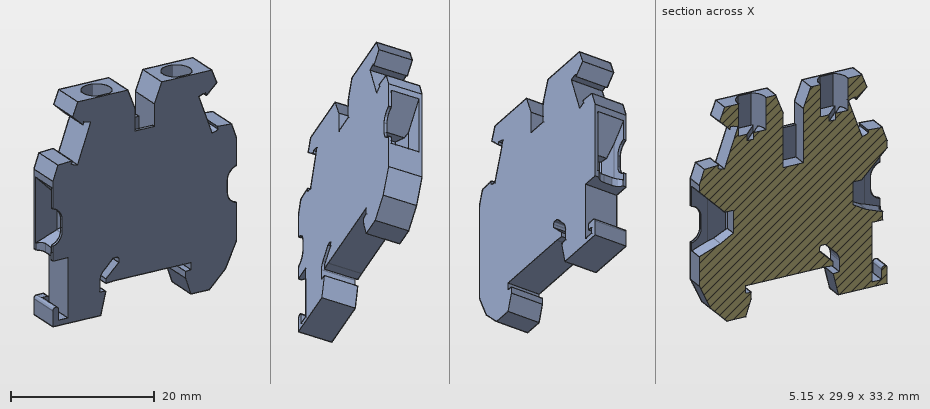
import cadquery as cq
import math

width = 5.15
length = 29.9
half_length = length / 2
height = 33.25

notch_half_width = 1.55
notch_floor_z = 26.75
notch_taper_z = 30.2
tower_inner_y = 2.75
tower_outer_y = 10.9
brow_tip = (11.75, 31.15)
brow_foot = (10.05, 29.55)
upper_groove_start = (9.9, 30.0)
upper_groove_middle = (9.38, 29.9)
neck_top = (8.8, 29.7)
neck_bottom = (10.95, 23.7)
lower_groove_middle = (11.47, 23.8)
lower_groove_end = (11.95, 24.05)
shoulder_lip = (11.8, 24.5)
shoulder_outer = (14.13, 24.37)
shoulder_side_z = 22.08

foot_side_z = 6.5
foot_knee = (13.15, 2.6)
foot_toe_y = 10.5
foot_inner_y = 7.5
foot_nose_y = 6.65
foot_nose_bottom_z = 2.6
foot_nose_top_z = 3.62
foot_undercut_z = 3.72

seat_z = 4.8
seat_kink_y = -5.05
slot_mouth = (-6.32, 4.7)
slot_mouth_top_z = 5.4
slot_inner_bend = (-4.22, 7.4)
slot_corner = (-4.22, 8.28)
slot_corner_radius = 0.33
slot_outer_bend = (-5.12, 8.28)
slot_arc_start = (-6.75, 6.65)
slot_arc_middle = (-7.15, 6.05)
slot_arc_end = (-7.28, 5.4)
clip_top = (-7.28, 3.62)
clip_nose = (-6.32, 3.5)
clip_toe_y = -7.15

step_z = 9.98
step_y = -12.5
hook_floor_z = 0.83
hook_inner_y = -14.0
hook_lip_y = -13.25
hook_lip_z = 1.83
hook_top_z = 2.9
hook_post_radius = (half_length + hook_inner_y) / 2
post_middle_y = hook_inner_y - hook_post_radius
post_shoulder_z = hook_top_z - hook_post_radius
hook_lip_width = 1.23
hook_lip_radius = 0.23

screw_x = 2.9
screw_spacing = 13.0
screw_radius = 2.15
screw_flat_x = 4.8
screw_depth = 5.0
driver_slot_width = 0.7
driver_slot_depth = 1.0
driver_slot_angle = -45.0

channel_start_x = 0.95
channel_end_x = 4.65
channel_depth = 5.0

entry_left_x = 0.5
entry_right_x = 4.72
entry_middle_x = (entry_left_x + entry_right_x) / 2
entry_floor_z = 11.05
entry_roof_z = 21.0
entry_depth = 5.42
roof_depth = 4.1
floor_knee_depth = 3.4
side_knee_depth = 3.5
right_draft_depth = 2.5
right_knee_depth = 5.2
mouth_floor_angle = 20.0
right_draft_angle = 7.3
funnel_angle = 30.0

window_middle_z = 15.05
window_flat_height = 1.8
window_height = 5.65
window_depth = 1.5

scallop_flat_width = 1.33
scallop_width = 4.0
scallop_depth = 0.73


def rise(run, angle):
    """Offset gained over a run along a slope given in degrees."""
    return run * math.tan(math.radians(angle))


def mirrored(point):
    """Same point of the side outline at the opposite end."""
    return (-point[0], point[1])


def make_body():
    """Side outline of the housing, extruded across its full width."""
    outline = (
        cq.Workplane("YZ")
        .moveTo(-notch_half_width, notch_floor_z)
        .lineTo(notch_half_width, notch_floor_z)
        .lineTo(notch_half_width, notch_taper_z)
        .lineTo(tower_inner_y, height)
        .lineTo(tower_outer_y, height)
        .lineTo(*brow_tip)
        .lineTo(*brow_foot)
        .lineTo(*upper_groove_start)
        .threePointArc(upper_groove_middle, neck_top)
        .lineTo(*neck_bottom)
        .threePointArc(lower_groove_middle, lower_groove_end)
        .lineTo(*shoulder_lip)
        .lineTo(*shoulder_outer)
        .lineTo(half_length, shoulder_side_z)
        .lineTo(half_length, foot_side_z)
        .lineTo(*foot_knee)
        .lineTo(foot_toe_y, 0)
        .lineTo(foot_inner_y, 0)
        .lineTo(foot_nose_y, foot_nose_bottom_z)
        .lineTo(foot_nose_y, foot_nose_top_z)
        .lineTo(foot_inner_y, foot_undercut_z)
        .lineTo(foot_inner_y, seat_z)
        .lineTo(seat_kink_y, seat_z)
        .lineTo(*slot_mouth)
        .lineTo(slot_mouth[0], slot_mouth_top_z)
        .lineTo(*slot_inner_bend)
        .lineTo(*slot_corner)
        .lineTo(*slot_outer_bend)
        .lineTo(*slot_arc_start)
        .threePointArc(slot_arc_middle, slot_arc_end)
        .lineTo(*clip_top)
        .lineTo(*clip_nose)
        .lineTo(clip_toe_y, 0)
        .lineTo(-half_length, 0)
        .lineTo(-half_length, post_shoulder_z)
        .threePointArc((post_middle_y, hook_top_z), (hook_inner_y, post_shoulder_z))
        .lineTo(hook_inner_y, hook_floor_z)
        .lineTo(step_y, hook_floor_z)
        .lineTo(step_y, step_z)
        .lineTo(-half_length, step_z)
        .lineTo(-half_length, shoulder_side_z)
        .lineTo(*mirrored(shoulder_outer))
        .lineTo(*mirrored(shoulder_lip))
        .lineTo(*mirrored(lower_groove_end))
        .threePointArc(mirrored(lower_groove_middle), mirrored(neck_bottom))
        .lineTo(*mirrored(neck_top))
        .threePointArc(mirrored(upper_groove_middle), mirrored(upper_groove_start))
        .lineTo(*mirrored(brow_foot))
        .lineTo(*mirrored(brow_tip))
        .lineTo(-tower_outer_y, height)
        .lineTo(-tower_inner_y, height)
        .lineTo(-notch_half_width, notch_taper_z)
        .close()
    )
    body = outline.extrude(width)
    slot_end = cq.selectors.NearestToPointSelector((width / 2, *slot_corner))
    return body.edges("|X").edges(slot_end).fillet(slot_corner_radius)


def make_hook_lip():
    """Short catch on the inner side of the hook post, at its -X end."""
    lip_depth = hook_lip_y - post_middle_y
    return (
        cq.Workplane("XY", origin=(0, post_middle_y, hook_lip_z))
        .box(hook_lip_width, lip_depth, hook_top_z - hook_lip_z, centered=False)
        .edges("|X and >Y and >Z")
        .fillet(hook_lip_radius)
    )


def make_screw_well(y):
    """Round well with one flat side; the screw at its floor has a driver slot."""
    total_depth = screw_depth + driver_slot_depth
    bore = (
        cq.Workplane("XY", origin=(screw_x, y, height - total_depth))
        .circle(screw_radius)
        .extrude(total_depth)
    )
    flat_limit = cq.Workplane("XY").box(
        screw_flat_x, length, height, centered=(False, True, False)
    )
    bore = bore.intersect(flat_limit)
    floor = cq.Workplane("XY", origin=(screw_x, y, height - screw_depth))
    well = floor.rect(width * 2, width * 2).extrude(screw_depth)
    driver_slot = (
        floor.transformed(rotate=(0, 0, driver_slot_angle))
        .rect(width * 2, driver_slot_width)
        .extrude(-driver_slot_depth)
    )
    return bore.intersect(well.union(driver_slot))


def make_jumper_channel():
    """Rectangular well as long as the notch, sunk into the notch floor."""
    return cq.Workplane("XY", origin=(channel_start_x, 0, notch_floor_z - channel_depth)).box(
        channel_end_x - channel_start_x,
        2 * notch_half_width,
        channel_depth,
        centered=(False, True, False),
    )


def make_wire_entry():
    """Entry at the -Y face: where its side profile and its plan profile overlap."""
    floor_knee_z = entry_floor_z + rise(floor_knee_depth, mouth_floor_angle)
    floor_back_z = floor_knee_z + rise(entry_depth - floor_knee_depth, funnel_angle)
    roof_back_z = entry_roof_z - roof_depth
    side_profile = (
        cq.Workplane("YZ", origin=(0, -half_length, 0))
        .polyline([
            (0, entry_floor_z),
            (floor_knee_depth, floor_knee_z),
            (entry_depth, floor_back_z),
            (entry_depth, roof_back_z),
            (roof_depth, roof_back_z),
            (0, entry_roof_z),
        ])
        .close()
        .extrude(width)
    )
    left_back_x = entry_left_x + rise(entry_depth - side_knee_depth, funnel_angle)
    right_knee_x = entry_right_x - rise(right_knee_depth - right_draft_depth, right_draft_angle)
    right_back_x = right_knee_x - rise(entry_depth - right_knee_depth, funnel_angle)
    plan_profile = (
        cq.Workplane("XY", origin=(0, -half_length, 0))
        .polyline([
            (entry_left_x, 0),
            (entry_left_x, side_knee_depth),
            (left_back_x, entry_depth),
            (right_back_x, entry_depth),
            (right_knee_x, right_knee_depth),
            (entry_right_x, right_draft_depth),
            (entry_right_x, 0),
        ])
        .close()
        .extrude(height)
    )
    return side_profile.intersect(plan_profile)


def round_notch(plane, span, flat, depth):
    """Notch outline opening along the plane's local -Y: a flat base between two quarter-like arcs."""
    arc_run = (span - flat) / 2
    radius = (arc_run**2 + depth**2) / (2 * depth)
    return (
        plane.moveTo(-span / 2, 0)
        .radiusArc((-flat / 2, depth), radius)
        .lineTo(flat / 2, depth)
        .radiusArc((span / 2, 0), radius)
        .close()
    )


def make_window():
    """Cut through the +X wall, opening at the -Y face and overlapping the wire entry."""
    cut_start = (entry_middle_x, -half_length, window_middle_z)
    wall_plane = cq.Workplane(cq.Plane(origin=cut_start, xDir=(0, 0, 1), normal=(-1, 0, 0)))
    return round_notch(wall_plane, window_height, window_flat_height, window_depth).extrude(-width)


def make_scallop():
    """Notch cut up through the lip into the floor of the -Y wire entry."""
    plane = cq.Workplane("XY", origin=(entry_middle_x, -half_length, step_z))
    lip_top = entry_floor_z + rise(scallop_depth, mouth_floor_angle)
    return round_notch(plane, scallop_width, scallop_flat_width, scallop_depth).extrude(lip_top - step_z)


result = make_body().union(make_hook_lip())
for screw_side in (-1, 1):
    result = result.cut(make_screw_well(screw_side * screw_spacing / 2))
result = result.cut(make_jumper_channel())
wire_opening = make_wire_entry().union(make_window())
result = result.cut(wire_opening)
result = result.cut(wire_opening.mirror("XZ"))
result = result.cut(make_scallop())